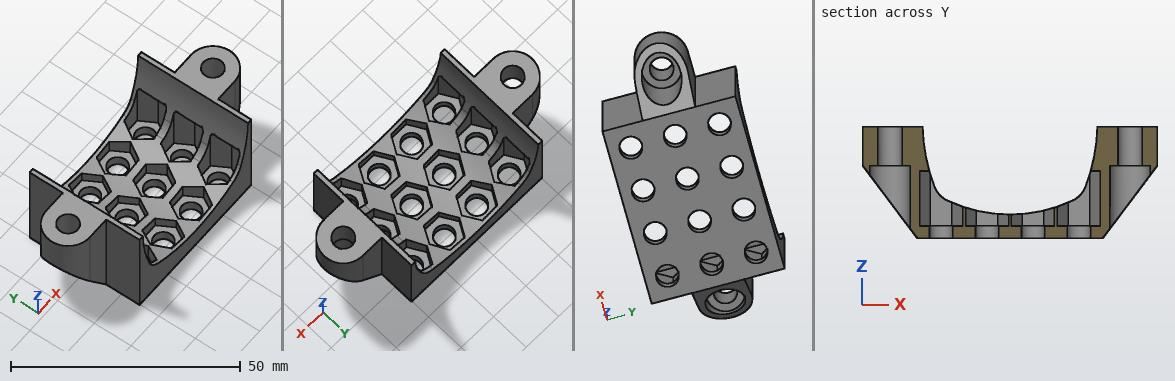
import cadquery as cq
import math

overall_length = 64.15
body_length = 40.4
body_width = 30.0
body_height = 24.3

cavity_top_half_width = 19.0
cavity_floor_z = 5.2
floor_radius = 32.1
wall_radius = 39.15
corner_half_width = 15.6
corner_radius = 5.45

ear_width = 11.9
ear_tip_z = 15.8
screw_hole_diameter = 5.2
counterbore_diameter = 8.7
shoulder_z = ear_tip_z
ear_center_x = (overall_length - ear_width) / 2

columns = 4
rows = 3
pitch = 10.0
hex_across_flats = 8.0
pocket_floor_z = 2.7
pocket_top_z = 14.6
through_hole_diameter = 5.0


def make_body():
    return cq.Workplane("XY").box(body_length, body_width, body_height, centered=(True, True, False))


def make_ears():
    """Both ears: a rounded bar whose underside slopes up from the bottom of the body to the tips."""
    bar = cq.Workplane("XY").slot2D(overall_length, ear_width).extrude(body_height)
    half_body = body_length / 2
    half_overall = overall_length / 2
    side_outline = (
        cq.Workplane("XZ")
        .moveTo(-half_body, 0)
        .lineTo(half_body, 0)
        .lineTo(half_overall, ear_tip_z)
        .lineTo(half_overall, body_height)
        .lineTo(-half_overall, body_height)
        .lineTo(-half_overall, ear_tip_z)
        .close()
        .extrude(ear_width / 2, both=True)
    )
    return bar.intersect(side_outline)


def make_cavity():
    """Cradle profile running the full width of the body."""
    floor_rise = floor_radius - math.sqrt(floor_radius**2 - corner_half_width**2)
    corner_z = cavity_floor_z + floor_rise
    profile = (
        cq.Workplane("XZ")
        .moveTo(-cavity_top_half_width, body_height)
        .radiusArc((-corner_half_width, corner_z), -wall_radius)
        .threePointArc((0, cavity_floor_z), (corner_half_width, corner_z))
        .radiusArc((cavity_top_half_width, body_height), -wall_radius)
        .close()
        .extrude(body_width / 2, both=True)
    )
    lower_corners = profile.edges("|Y").edges("<Z")
    return lower_corners.fillet(corner_radius)


def make_pockets():
    """Hexagonal pockets of limited height; the outer ones reach under the leaning side walls."""
    hex_across_corners = hex_across_flats / math.cos(math.pi / 6)
    return (
        cq.Workplane("XY")
        .workplane(offset=pocket_floor_z)
        .rarray(pitch, pitch, columns, rows)
        .polygon(6, hex_across_corners)
        .extrude(pocket_top_z - pocket_floor_z)
    )


def make_through_holes():
    """Holes from the pocket floors down through the bottom of the body."""
    return (
        cq.Workplane("XY")
        .rarray(pitch, pitch, columns, rows)
        .circle(through_hole_diameter / 2)
        .extrude(pocket_floor_z)
    )


def make_screw_holes():
    """Vertical screw holes in the ears, counterbored from the sloped underside."""
    centers = [(-ear_center_x, 0), (ear_center_x, 0)]
    holes = cq.Workplane("XY").pushPoints(centers).circle(screw_hole_diameter / 2).extrude(body_height)
    counterbores = (
        cq.Workplane("XY").pushPoints(centers).circle(counterbore_diameter / 2).extrude(shoulder_z)
    )
    return holes.union(counterbores)


result = (
    make_body()
    .union(make_ears())
    .cut(make_screw_holes())
    .cut(make_cavity())
    .cut(make_pockets())
    .cut(make_through_holes())
)